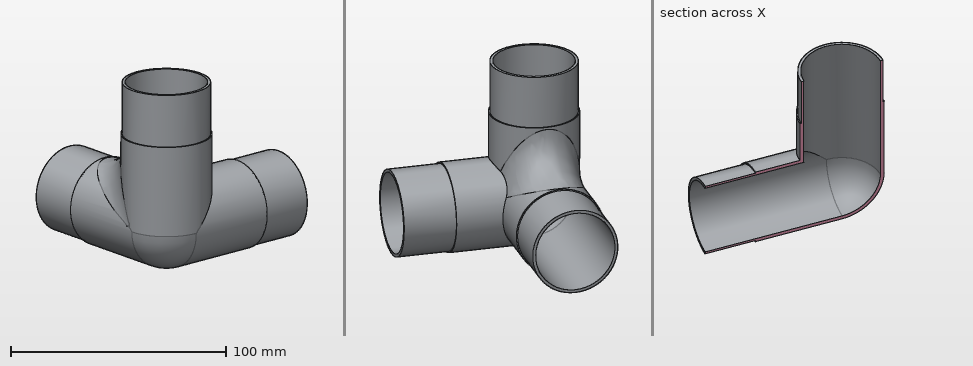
import cadquery as cq
import math

overall = 90.0
body_radius = 21.2
spigot_radius = 20.6
bore_radius = 19.2
spigot_length = 25.2

arm_reach = overall - body_radius
body_reach = arm_reach - spigot_length
corner = cq.Vector(0, 0, 0)
arm_directions = [cq.Vector(-1, 0, 0), cq.Vector(0, 1, 0), cq.Vector(0, 0, 1)]

blend_ratio = 1.0
blend_steps = 12
blend_end_angle = 85.0


def rod(radius, length, direction):
    return cq.Workplane(obj=cq.Solid.makeCylinder(radius, length, corner, direction))


def blend_section(angle):
    """Section parallel to XZ, from the corner axis out to an arc tangent to both tubes."""
    y = body_radius * math.sin(angle)
    half_height = body_radius * math.cos(angle)
    far = half_height * (1 + blend_ratio)
    middle = far - half_height * blend_ratio * math.sqrt(0.5)
    axis_point = cq.Vector(0, y, 0)
    x_tangent = cq.Vector(-far, y, half_height)
    arc_middle = cq.Vector(-middle, y, middle)
    z_tangent = cq.Vector(-half_height, y, far)
    return cq.Wire.assembleEdges([
        cq.Edge.makeLine(axis_point, x_tangent),
        cq.Edge.makeThreePointArc(x_tangent, arc_middle, z_tangent),
        cq.Edge.makeLine(z_tangent, axis_point),
    ])


def make_blend():
    end = math.radians(blend_end_angle)
    angles = [end * (2 * step / blend_steps - 1) for step in range(blend_steps + 1)]
    sections = [blend_section(angle) for angle in angles]
    return cq.Workplane(obj=cq.Solid.makeLoft(sections))


outside = cq.Workplane().sphere(body_radius)
for direction in arm_directions:
    outside = outside.union(rod(body_radius, body_reach, direction))
    outside = outside.union(rod(spigot_radius, arm_reach, direction))
outside = outside.union(make_blend())

inside = cq.Workplane().sphere(bore_radius)
for direction in arm_directions:
    inside = inside.union(rod(bore_radius, arm_reach, direction))

result = outside.cut(inside)